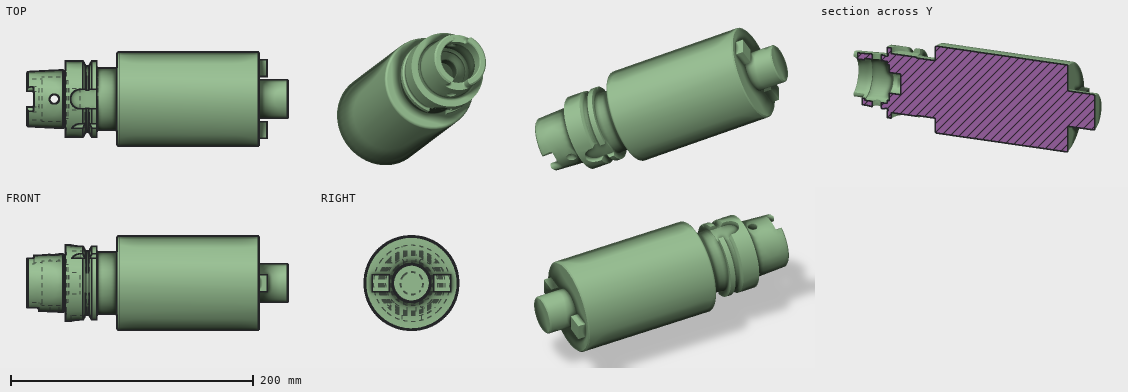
import cadquery as cq
import math


taper_length = 32.0
gauge_diameter = 48.0
gauge_setback = 6.3
taper_ratio = 0.1
nose_chamfer = 1.2
undercut_width = 2.2
undercut_depth = 0.7
undercut_fillet = 1.3
face_recess_diameter = 51.6
face_recess_depth = 0.8

flange_diameter = 63.0
flange_width = 26.0
groove_centre = 18.1
groove_floor_diameter = 55.0
groove_floor_width = 2.8
groove_floor_fillet = 1.0
groove_mouth_width = 7.2

neck_diameter = 51.7
neck_fillet = 0.8
body_diameter = 78.0
body_start = 42.5
body_end = 160.0
body_front_fillet = 2.0
body_rear_chamfer = 1.0
pilot_diameter = 32.0
pilot_length = 24.0
pilot_chamfer = 1.0

bore_diameter = 34.0
bore_chamfer = 0.7
bore_depth = 12.6
chamber_diameter = 37.0
chamber_end = 0.0
seat_diameter = 31.4
seat_depth = 2.0
core_diameter = 18.0
core_chamfer = 0.6
core_depth = 10.0

cross_hole_diameter = 7.5
cross_hole_chamfer = 0.8
cross_hole_x = -9.2

slot_width = 12.8
slot_corner_radius = 3.5
slot_shoulder_height = 20.5
slot_floor_fillet = 1.5
upper_slot_depth = 6.0
lower_slot_depth = 10.0

keyway_width = 16.0
keyway_floor_height = 26.5
cutter_centre_x = 12.2
notch_offset = 20.3

key_size = 14.0
key_height = 6.5
key_inner_offset = 18.5


def taper_radius(x):
    return gauge_diameter / 2 + taper_ratio / 2 * (x + gauge_setback)


def revolve_about_x(profile):
    return profile.revolve(360, (0, 0, 0), (1, 0, 0))


def shank_blank():
    """Taper and flange, with the flange diameter carried on to the body."""
    nose_x = -taper_length
    nose_radius = taper_radius(nose_x)
    outline = [
        (nose_x, 0),
        (nose_x, nose_radius - nose_chamfer),
        (nose_x + nose_chamfer, nose_radius),
        (0, taper_radius(0)),
        (0, flange_diameter / 2),
        (body_start, flange_diameter / 2),
        (body_start, 0),
    ]
    return revolve_about_x(cq.Workplane("XY").polyline(outline).close())


def body():
    length = body_end - body_start
    blank = cq.Workplane("YZ", origin=(body_start, 0, 0)).circle(body_diameter / 2).extrude(length)
    rounded = blank.faces("<X").edges().fillet(body_front_fillet)
    return rounded.faces(">X").edges().chamfer(body_rear_chamfer)


def pilot():
    blank = cq.Workplane("YZ", origin=(body_end, 0, 0)).circle(pilot_diameter / 2).extrude(pilot_length)
    return blank.faces(">X").edges().chamfer(pilot_chamfer)


def neck_recess():
    """Ring cutter that leaves the neck, with fillets at the flange and the body."""
    neck_radius = neck_diameter / 2
    outer_radius = flange_diameter / 2
    outline = [
        (flange_width, outer_radius),
        (flange_width, neck_radius),
        (body_start, neck_radius),
        (body_start, outer_radius),
        (flange_width, outer_radius),
    ]
    profile = cq.Sketch().polygon(outline).vertices("<Y").fillet(neck_fillet)
    return revolve_about_x(cq.Workplane("XY").placeSketch(profile))


def undercut():
    """Ring cutter for the relief where the taper meets the flange face."""
    taper_end_radius = taper_radius(-undercut_width)
    floor_radius = taper_end_radius - undercut_depth
    face_radius = face_recess_diameter / 2
    outline = [
        (-undercut_width, taper_end_radius),
        (-undercut_width + undercut_depth, floor_radius),
        (face_recess_depth, floor_radius),
        (face_recess_depth, face_radius - face_recess_depth),
        (0, face_radius),
        (-undercut_width, taper_end_radius),
    ]
    profile = cq.Sketch().polygon(outline).vertices(">X").vertices("<Y").fillet(undercut_fillet)
    return revolve_about_x(cq.Workplane("XY").placeSketch(profile))


def gripper_groove():
    """Ring cutter for the trapezoidal groove around the flange."""
    floor_radius = groove_floor_diameter / 2
    mouth_radius = flange_diameter / 2
    half_floor = groove_floor_width / 2
    half_mouth = groove_mouth_width / 2
    outline = [
        (groove_centre - half_mouth, mouth_radius),
        (groove_centre - half_floor, floor_radius),
        (groove_centre + half_floor, floor_radius),
        (groove_centre + half_mouth, mouth_radius),
        (groove_centre - half_mouth, mouth_radius),
    ]
    profile = cq.Sketch().polygon(outline).vertices("<Y").fillet(groove_floor_fillet)
    return revolve_about_x(cq.Workplane("XY").placeSketch(profile))


def bore():
    """Stepped bore cutter: nose bore, clamping chamber, seat and blind core hole."""
    nose_x = -taper_length
    bore_radius = bore_diameter / 2
    chamber_radius = chamber_diameter / 2
    seat_radius = seat_diameter / 2
    core_radius = core_diameter / 2
    bore_end = nose_x + bore_depth
    seat_end = chamber_end + seat_depth
    outline = [
        (nose_x, 0),
        (nose_x, bore_radius + bore_chamfer),
        (nose_x + bore_chamfer, bore_radius),
        (bore_end, bore_radius),
        (bore_end, chamber_radius),
        (chamber_end, chamber_radius),
        (chamber_end, seat_radius),
        (seat_end, seat_radius),
        (seat_end, core_radius + core_chamfer),
        (seat_end + core_chamfer, core_radius),
        (seat_end + core_depth, core_radius),
        (seat_end + core_depth, 0),
    ]
    return revolve_about_x(cq.Workplane("XY").polyline(outline).close())


def drive_slot(depth):
    """Slot cutter for the +Z side of the nose, flaring outward over rounded corners."""
    half = slot_width / 2
    radius = slot_corner_radius
    shoulder = slot_shoulder_height
    top = flange_diameter / 2
    side = half + 2 * radius
    diagonal = radius * (1 - math.sqrt(0.5))
    return (
        cq.Workplane("YZ", origin=(-taper_length - depth, 0, 0))
        .moveTo(-half, 0)
        .lineTo(half, 0)
        .lineTo(half, shoulder - radius)
        .threePointArc((half + diagonal, shoulder - diagonal), (half + radius, shoulder))
        .lineTo(side, shoulder)
        .lineTo(side, top)
        .lineTo(-side, top)
        .lineTo(-side, shoulder)
        .lineTo(-half - radius, shoulder)
        .threePointArc((-half - diagonal, shoulder - diagonal), (-half, shoulder - radius))
        .close()
        .extrude(2 * depth)
        .faces(">X")
        .edges("not(<Z or >Z)")
        .edges("not(<Y or >Y)")
        .fillet(slot_floor_fillet)
    )


def cross_hole():
    """Hole cutter from the axis to beyond the +Z wall, countersunk at the taper surface."""
    hole_radius = cross_hole_diameter / 2
    surface_z = taper_radius(cross_hole_x)
    outline = [
        (0, 0),
        (0, hole_radius),
        (surface_z - cross_hole_chamfer, hole_radius),
        (surface_z + cross_hole_chamfer, hole_radius + cross_hole_chamfer),
        (surface_z + cross_hole_chamfer, 0),
    ]
    along_x = revolve_about_x(cq.Workplane("XY").polyline(outline).close())
    return along_x.rotate((0, 0, 0), (0, 1, 0), -90).translate((cross_hole_x, 0, 0))


def milled_pocket(centre_y, floor_z):
    """Round-ended pocket cutter, open through the flange rear, with its floor at floor_z."""
    length = flange_width - cutter_centre_x
    height = flange_diameter / 2
    end = cq.Workplane("XY", origin=(cutter_centre_x, centre_y, floor_z)).circle(keyway_width / 2)
    channel = cq.Workplane("XY", origin=(cutter_centre_x, centre_y, floor_z)).box(
        length, keyway_width, height, centered=(False, True, False)
    )
    return end.extrude(height).union(channel)


def drive_key():
    """Key on the +Y side of the body end face."""
    return cq.Workplane("XY", origin=(body_end, key_inner_offset, 0)).box(
        key_height, key_size, key_size, centered=(False, False, True)
    )


def half_turn(shape):
    return shape.rotate((0, 0, 0), (1, 0, 0), 180)


keyway = milled_pocket(0, keyway_floor_height)
notch = milled_pocket(-notch_offset - keyway_width / 2, notch_offset)

result = (
    shank_blank()
    .cut(neck_recess())
    .union(body())
    .union(pilot())
    .cut(undercut())
    .cut(gripper_groove())
    .cut(bore())
    .cut(drive_slot(upper_slot_depth))
    .cut(half_turn(drive_slot(lower_slot_depth)))
    .cut(cross_hole())
    .cut(half_turn(cross_hole()))
    .cut(keyway)
    .cut(half_turn(keyway))
    .cut(notch)
    .union(drive_key())
    .union(half_turn(drive_key()))
)